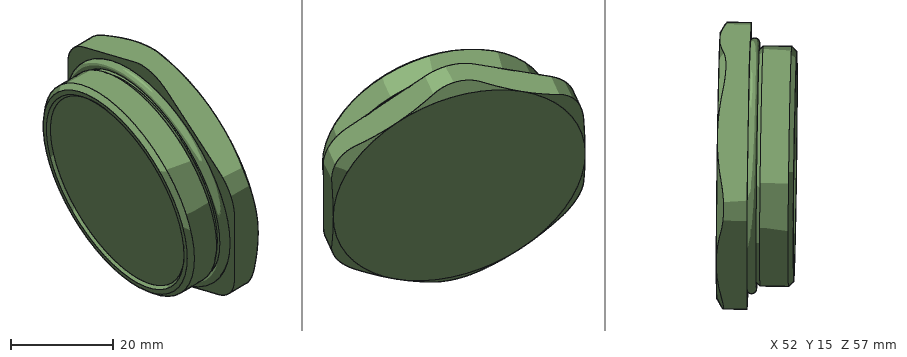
import cadquery as cq
import math

across_flats = 52.0
across_corners = 56.95
head_thickness = 6.0
corner_chamfer_angle = 30.0

ring_diameter = 50.0
ring_section_radius = 0.995
ring_projection = 1.75

body_diameter = 47.0
body_tip_diameter = 45.0
overall_length = 15.0
land_end_from_tip = 6.55
neck_diameter = 45.0

recess_mouth_diameter = 42.95
recess_floor_diameter = 41.8
recess_depth = 0.55

head_back = overall_length / 2
head_front = head_back - head_thickness
body_front = -overall_length / 2


def revolve_profile(points):
    """Revolve a closed (radius, y) outline around the Y axis."""
    return cq.Workplane("XY").polyline(points).close().revolve(360, (0, 0, 0), (0, 1, 0))


def make_head():
    """Rounded hexagon whose back corners are cut by a cone."""
    sharp_corners = across_flats / math.cos(math.radians(30))
    corner_round = (sharp_corners - across_corners) / 2 / (1 / math.cos(math.radians(30)) - 1)
    hexagon = (
        cq.Workplane("XZ", origin=(0, head_back, 0))
        .transformed(rotate=(0, 0, 30))
        .polygon(6, sharp_corners)
        .extrude(head_thickness)
        .edges("|Y")
        .fillet(corner_round)
    )
    back_radius = across_flats / 2
    cone_radius = back_radius + head_thickness / math.tan(math.radians(corner_chamfer_angle))
    cone = revolve_profile(
        [(0, head_back), (back_radius, head_back), (cone_radius, head_front), (0, head_front)]
    )
    return hexagon.intersect(cone)


def make_ring():
    """O-ring bedded slightly into the front of the head."""
    centre_radius = ring_diameter / 2 - ring_section_radius
    centre_y = head_front - ring_projection + ring_section_radius
    return (
        cq.Workplane("XY")
        .center(centre_radius, centre_y)
        .circle(ring_section_radius)
        .revolve(360, (-centre_radius, 0, 0), (-centre_radius, 1, 0))
    )


def make_body():
    """Neck and cylinder chamfered at both ends, with a tapered recess in its front face."""
    radius = body_diameter / 2
    tip_radius = body_tip_diameter / 2
    tip_chamfer = radius - tip_radius
    neck_radius = neck_diameter / 2
    neck_chamfer = radius - neck_radius
    land_end = body_front + land_end_from_tip
    recess_floor = body_front + recess_depth
    return revolve_profile(
        [
            (0, head_front),
            (neck_radius, head_front),
            (neck_radius, land_end + neck_chamfer),
            (radius, land_end),
            (radius, body_front + tip_chamfer),
            (tip_radius, body_front),
            (recess_mouth_diameter / 2, body_front),
            (recess_floor_diameter / 2, recess_floor),
            (0, recess_floor),
        ]
    )


result = make_head().union(make_ring()).union(make_body())